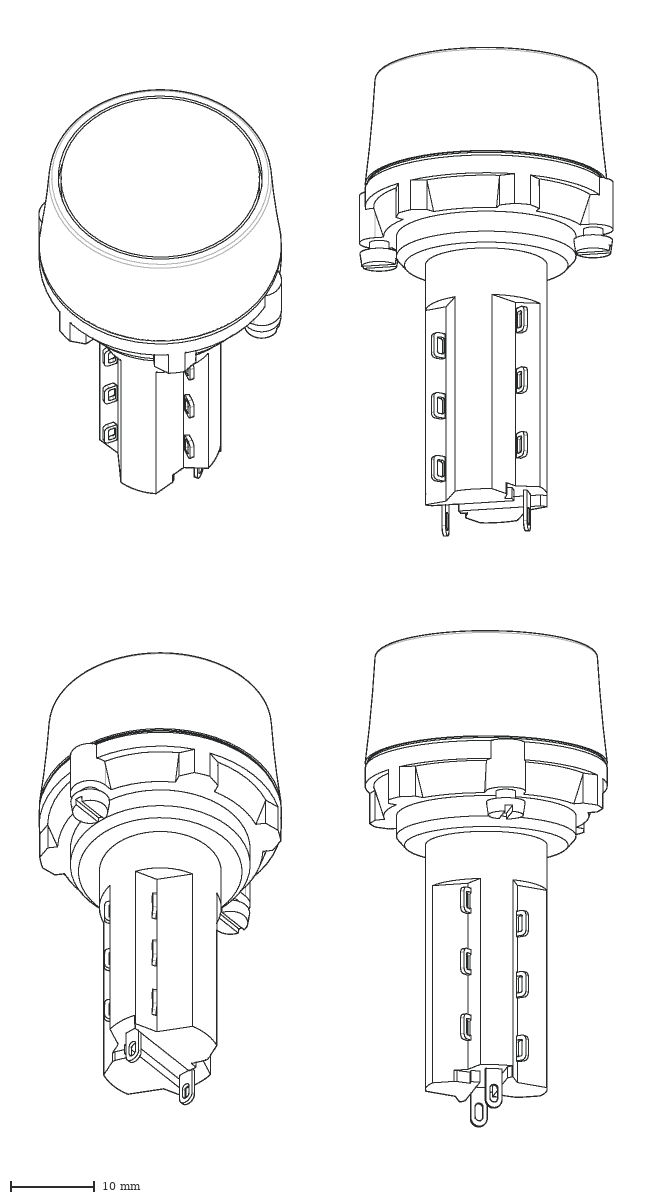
import cadquery as cq
import math

TOTAL_HEIGHT = 56.8
BLOCK_BOTTOM = 3.4
BLOCK_TOP = 27.65
COLLAR_BOTTOM = 33.45
SKIRT_BOTTOM = 37.05
FLANGE_BOTTOM = 40.7
FLANGE_TOP = 42.95
GROOVE_BOTTOM = 43.35
BEZEL_BOTTOM = 43.5

BODY_RADIUS = 29.0 / 2
GROOVE_RADIUS = BODY_RADIUS - 0.2
BEZEL_TOP_RADIUS = 26.65 / 2
BEZEL_SAG = 0.1
BEZEL_TOP_FILLET = 0.35
SKIRT_TOP_RADIUS = 27.0 / 2
SKIRT_BOTTOM_RADIUS = 24.6 / 2
COLLAR_RADIUS = 21.5 / 2
COLLAR_CHAMFER_HEIGHT = 1.1
COLLAR_CHAMFER_WIDTH = 0.95
BARREL_RADIUS = 14.6 / 2

BUTTON_RADIUS = 23.8 / 2
RECESS_RADIUS = 24.4 / 2
BUTTON_THICKNESS = 1.7

RIB_ANGLES = (60, 120, 240, 300)
RIB_ROOT_HALF_WIDTH = 2.5
RIB_NOSE_HALF_WIDTH = 0.3
RIB_SHOULDER_DISTANCE = 13.25
RIB_NOSE_DISTANCE = 15.05
RIB_ROOT_DISTANCE = 8.5
POCKET_RADIUS = BODY_RADIUS + 1.7
LUG_RADIUS = 2.4
LUG_DISTANCE = 31.0 / 2 - LUG_RADIUS

SCREW_SHANK_RADIUS = 2.4 / 2
SCREW_HEAD_TOP = 35.7
SCREW_HEAD_BOTTOM = 34.15
SCREW_HEAD_TOP_RADIUS = 2.35
SCREW_HEAD_BOTTOM_RADIUS = 2.1
SCREW_SLOT_WIDTH = 0.9
SCREW_SLOT_DEPTH = 0.75

RECESS_CORNER_X = 4.25
RECESS_CORNER_Y = 3.0
RECESS_FRONT_EDGE_X = 2.3
RECESS_SIDE_EDGE_Y = 2.0
RECESS_OVERSHOOT = 0.5

TAB_LENGTH = 2.0
TAB_HEIGHT = 3.05
TAB_THICKNESS = 0.5
TAB_ANGLE = 45
TAB_TIP_DISTANCE = 6.8
TAB_OFFSET = 1.25
TAB_CORNER_RADIUS = 0.55
TAB_HOLE_WIDTH = 0.9
TAB_HOLE_HEIGHT = 2.05
TAB_HOLE_CORNER_RADIUS = 0.2
UPPER_TAB_HEIGHTS = (25.4, 17.85, 9.75)
LOWER_TAB_HEIGHTS = (22.8, 15.3, 7.45)

NOTCH_TOP = 4.75
CHANNEL_HALF_WIDTH = 1.4
NOTCH_INNER_WALL_X = 3.7
NOTCH_SLANT_START_X = 2.85
NOTCH_SLANT_START_Y = 2.5
NOTCH_OUTER_WALL_X = 3.45
NOTCH_SLANT_END_Y = 4.2
NOTCH_END_Y = 4.65
NOTCH_FLARE_START_X = 6.35
NOTCH_FLARE_END_Y = 2.5
NOTCH_REACH = 7.95
PIN_DISTANCE = 5.0
PIN_WIDTH = 2.0
PIN_THICKNESS = 0.45
PIN_HOLE_WIDTH = 0.95
PIN_HOLE_BOTTOM = 0.7
PIN_HOLE_TOP = 2.85


def make_turned_body():
    """Bezel, flange, skirt blank, collar and barrel as one turned profile."""
    mid_radius = (BEZEL_TOP_RADIUS + BODY_RADIUS) / 2 - BEZEL_SAG
    mid_height = (BEZEL_BOTTOM + TOTAL_HEIGHT) / 2
    profile = (
        cq.Workplane("XZ")
        .moveTo(0, BLOCK_BOTTOM)
        .lineTo(BARREL_RADIUS, BLOCK_BOTTOM)
        .lineTo(BARREL_RADIUS, COLLAR_BOTTOM)
        .lineTo(COLLAR_RADIUS - COLLAR_CHAMFER_WIDTH, COLLAR_BOTTOM)
        .lineTo(COLLAR_RADIUS, COLLAR_BOTTOM + COLLAR_CHAMFER_HEIGHT)
        .lineTo(COLLAR_RADIUS, SKIRT_BOTTOM)
        .lineTo(BODY_RADIUS, SKIRT_BOTTOM)
        .lineTo(BODY_RADIUS, FLANGE_TOP)
        .lineTo(GROOVE_RADIUS, GROOVE_BOTTOM)
        .lineTo(GROOVE_RADIUS, BEZEL_BOTTOM)
        .lineTo(BODY_RADIUS, BEZEL_BOTTOM)
        .threePointArc((mid_radius, mid_height), (BEZEL_TOP_RADIUS, TOTAL_HEIGHT))
        .lineTo(0, TOTAL_HEIGHT)
        .close()
    )
    body = profile.revolve(360, (0, 0, 0), (0, 1, 0))
    return body.faces(">Z").edges().fillet(BEZEL_TOP_FILLET)


def make_rib(angle):
    """Grip rib with a tapered nose; the nose runs past the flange radius."""
    return (
        cq.Workplane("XY")
        .workplane(offset=SKIRT_BOTTOM)
        .polyline([
            (RIB_ROOT_DISTANCE, -RIB_ROOT_HALF_WIDTH),
            (RIB_SHOULDER_DISTANCE, -RIB_ROOT_HALF_WIDTH),
            (RIB_NOSE_DISTANCE, -RIB_NOSE_HALF_WIDTH),
            (RIB_NOSE_DISTANCE, RIB_NOSE_HALF_WIDTH),
            (RIB_SHOULDER_DISTANCE, RIB_ROOT_HALF_WIDTH),
            (RIB_ROOT_DISTANCE, RIB_ROOT_HALF_WIDTH),
        ])
        .close()
        .extrude(FLANGE_BOTTOM - SKIRT_BOTTOM)
        .rotate((0, 0, 0), (0, 0, 1), angle)
    )


def make_skirt_pockets():
    """Cutter that leaves the tapered skirt and its grip ribs standing below the flange."""
    pockets = (
        cq.Workplane("XZ")
        .moveTo(SKIRT_BOTTOM_RADIUS, SKIRT_BOTTOM)
        .lineTo(POCKET_RADIUS, SKIRT_BOTTOM)
        .lineTo(POCKET_RADIUS, FLANGE_BOTTOM)
        .lineTo(SKIRT_TOP_RADIUS, FLANGE_BOTTOM)
        .close()
        .revolve(360, (0, 0, 0), (0, 1, 0))
    )
    for angle in RIB_ANGLES:
        pockets = pockets.cut(make_rib(angle))
    return pockets


def make_lug_with_screw():
    """Screw lug on the +X side with a slotted screw hanging below it."""
    height = FLANGE_TOP - SKIRT_BOTTOM
    base = cq.Workplane("XY").workplane(offset=SKIRT_BOTTOM)
    lug = base.center(LUG_DISTANCE, 0).circle(LUG_RADIUS).extrude(height)
    web = base.center((LUG_DISTANCE + RIB_ROOT_DISTANCE) / 2, 0).rect(
        LUG_DISTANCE - RIB_ROOT_DISTANCE, 2 * LUG_RADIUS
    ).extrude(height)
    screw = (
        cq.Workplane("XZ")
        .moveTo(0, SCREW_HEAD_BOTTOM)
        .lineTo(SCREW_HEAD_BOTTOM_RADIUS, SCREW_HEAD_BOTTOM)
        .lineTo(SCREW_HEAD_TOP_RADIUS, SCREW_HEAD_TOP)
        .lineTo(SCREW_SHANK_RADIUS, SCREW_HEAD_TOP)
        .lineTo(SCREW_SHANK_RADIUS, FLANGE_BOTTOM)
        .lineTo(0, FLANGE_BOTTOM)
        .close()
        .revolve(360, (0, 0, 0), (0, 1, 0))
    )
    slot = (
        cq.Workplane("XY")
        .workplane(offset=SCREW_HEAD_BOTTOM)
        .rect(2 * SCREW_HEAD_TOP_RADIUS, SCREW_SLOT_WIDTH)
        .extrude(SCREW_SLOT_DEPTH)
    )
    return lug.union(web).union(screw.cut(slot).translate((LUG_DISTANCE, 0, 0)))


def make_corner_recess(x_side, y_side):
    """Cutter for the V-shaped recess in one corner of the contact block."""
    front_edge_y = math.sqrt(BARREL_RADIUS**2 - RECESS_FRONT_EDGE_X**2)
    side_edge_x = math.sqrt(BARREL_RADIUS**2 - RECESS_SIDE_EDGE_Y**2)
    front_out_x = RECESS_FRONT_EDGE_X + (RECESS_FRONT_EDGE_X - RECESS_CORNER_X) * RECESS_OVERSHOOT
    front_out_y = front_edge_y + (front_edge_y - RECESS_CORNER_Y) * RECESS_OVERSHOOT
    side_out_x = side_edge_x + (side_edge_x - RECESS_CORNER_X) * RECESS_OVERSHOOT
    side_out_y = RECESS_SIDE_EDGE_Y + (RECESS_SIDE_EDGE_Y - RECESS_CORNER_Y) * RECESS_OVERSHOOT
    outline = [
        (RECESS_CORNER_X, RECESS_CORNER_Y),
        (front_out_x, front_out_y),
        (side_out_x, front_out_y),
        (side_out_x, side_out_y),
    ]
    return (
        cq.Workplane("XY")
        .workplane(offset=BLOCK_BOTTOM)
        .polyline([(x_side * x, y_side * y) for x, y in outline])
        .close()
        .extrude(BLOCK_TOP - BLOCK_BOTTOM)
    )


def make_tab(x_side, y_side, height):
    """Upright solder tab with an eyelet, pointing diagonally out of a corner recess."""
    plate = cq.Workplane("XY").box(TAB_LENGTH, TAB_THICKNESS, TAB_HEIGHT)
    plate = plate.edges("|Y").fillet(TAB_CORNER_RADIUS)
    eyelet = cq.Workplane("XY").box(TAB_HOLE_WIDTH, TAB_THICKNESS, TAB_HOLE_HEIGHT)
    eyelet = eyelet.edges("|Y").fillet(TAB_HOLE_CORNER_RADIUS)
    tab = plate.cut(eyelet)
    tab = tab.translate((TAB_TIP_DISTANCE - TAB_LENGTH / 2, -TAB_OFFSET, height))
    tab = tab.rotate((0, 0, 0), (0, 0, 1), TAB_ANGLE)
    if x_side < 0:
        tab = tab.mirror("YZ")
    if y_side < 0:
        tab = tab.mirror("XZ")
    return tab


def make_notch():
    """Cutter for the stepped notch at the bottom of the block on the +X side."""
    outline = [
        (0, -CHANNEL_HALF_WIDTH),
        (NOTCH_INNER_WALL_X, -CHANNEL_HALF_WIDTH),
        (NOTCH_INNER_WALL_X, -NOTCH_SLANT_START_Y),
        (NOTCH_SLANT_START_X, -NOTCH_SLANT_START_Y),
        (NOTCH_OUTER_WALL_X, -NOTCH_SLANT_END_Y),
        (NOTCH_OUTER_WALL_X, -NOTCH_END_Y),
        (NOTCH_REACH, -NOTCH_END_Y),
        (NOTCH_REACH, NOTCH_FLARE_END_Y),
        (NOTCH_FLARE_START_X, CHANNEL_HALF_WIDTH),
        (0, CHANNEL_HALF_WIDTH),
    ]
    return (
        cq.Workplane("XY")
        .workplane(offset=BLOCK_BOTTOM)
        .polyline(outline)
        .close()
        .extrude(NOTCH_TOP - BLOCK_BOTTOM)
    )


def make_pin():
    """Flat lamp pin on the +X side with a round tip and an eyelet."""
    tip_radius = PIN_WIDTH / 2
    return (
        cq.Workplane("YZ")
        .moveTo(-tip_radius, NOTCH_TOP)
        .lineTo(-tip_radius, tip_radius)
        .threePointArc((0, 0), (tip_radius, tip_radius))
        .lineTo(tip_radius, NOTCH_TOP)
        .close()
        .moveTo(0, (PIN_HOLE_BOTTOM + PIN_HOLE_TOP) / 2)
        .slot2D(PIN_HOLE_TOP - PIN_HOLE_BOTTOM, PIN_HOLE_WIDTH, 90)
        .extrude(PIN_THICKNESS / 2, both=True)
        .translate((PIN_DISTANCE, 0, 0))
    )


def turned_half_round(shape):
    """The same shape turned 180 degrees about the vertical axis."""
    return shape.rotate((0, 0, 0), (0, 0, 1), 180)


def make_housing():
    housing = make_turned_body().cut(make_skirt_pockets())
    lug = make_lug_with_screw()
    housing = housing.union(lug).union(turned_half_round(lug))

    for x_side in (-1, 1):
        for y_side in (-1, 1):
            housing = housing.cut(make_corner_recess(x_side, y_side))
    for x_side in (-1, 1):
        for y_side in (-1, 1):
            heights = LOWER_TAB_HEIGHTS if x_side == y_side else UPPER_TAB_HEIGHTS
            for height in heights:
                housing = housing.union(make_tab(x_side, y_side, height))

    notch = make_notch()
    housing = housing.cut(notch).cut(turned_half_round(notch))
    pin = make_pin()
    housing = housing.union(pin).union(turned_half_round(pin))

    recess = (
        cq.Workplane("XY")
        .workplane(offset=TOTAL_HEIGHT - BUTTON_THICKNESS)
        .circle(RECESS_RADIUS)
        .extrude(BUTTON_THICKNESS)
    )
    return housing.cut(recess)


def make_button():
    """Flat round button standing on the floor of the bezel recess with a gap all round."""
    return (
        cq.Workplane("XY")
        .workplane(offset=TOTAL_HEIGHT - BUTTON_THICKNESS)
        .circle(BUTTON_RADIUS)
        .extrude(BUTTON_THICKNESS)
    )


housing = make_housing()
button = make_button()
result = cq.Compound.makeCompound([housing.val(), button.val()])